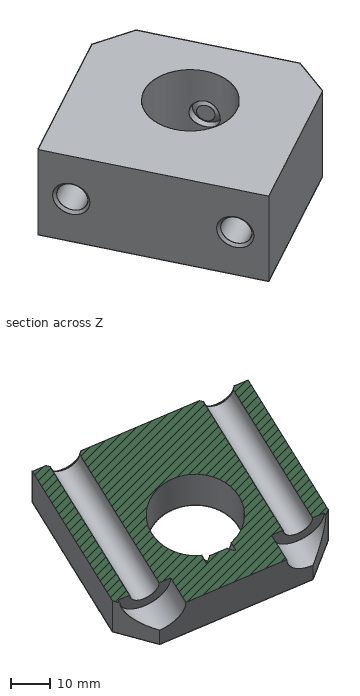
import cadquery as cq

width = 62.0
depth = 54.0
height = 28.0
corner_chamfer = 9.0
front_y = -depth / 2
back_y = depth / 2

bore_diameter = 25.0
bore_y = back_y - 23.0

bolt_spacing = 44.0
bolt_diameter = 8.4
countersink_diameter = 10.0
countersink_depth = (countersink_diameter - bolt_diameter) / 2
counterbore_diameter = 15.0
counterbore_depth = 8.5

screw_diameter = 8.4
tip_diameter = 4.95
tip_recess = 0.3
tip_length = (screw_diameter - tip_diameter) / 2
tip_y = bore_y + bore_diameter / 2 + tip_recess
screw_shoulder_y = tip_y + tip_length


def cylinder_along_y(x, y_start, length, diameter):
    """Cylinder at mid height, running toward +Y from y_start."""
    return cq.Workplane(
        cq.Solid.makeCylinder(diameter / 2, length, cq.Vector(x, y_start, 0), cq.Vector(0, 1, 0))
    )


def cone_along_y(x, y_start, length, start_diameter, end_diameter):
    """Truncated cone at mid height, running toward +Y from y_start."""
    return cq.Workplane(
        cq.Solid.makeCone(
            start_diameter / 2, end_diameter / 2, length, cq.Vector(x, y_start, 0), cq.Vector(0, 1, 0)
        )
    )


def bolt_hole(x):
    """Through hole, countersunk at the front and counterbored at the back."""
    shank = cylinder_along_y(x, front_y, depth, bolt_diameter)
    countersink = cone_along_y(x, front_y, countersink_depth, countersink_diameter, bolt_diameter)
    counterbore = cylinder_along_y(x, back_y - counterbore_depth, counterbore_depth, counterbore_diameter)
    return shank.union(countersink).union(counterbore)


def screw_recess():
    """Space around the flat-ended conical screw tip, open to the bore."""
    pocket = cylinder_along_y(0, bore_y, screw_shoulder_y - bore_y, screw_diameter)
    tip = cone_along_y(0, tip_y, tip_length, tip_diameter, screw_diameter)
    return pocket.cut(tip)


block = cq.Workplane("XY").box(width, depth, height)
block = block.edges("|Z and >Y").chamfer(corner_chamfer)

bore = cq.Workplane("XY").center(0, bore_y).circle(bore_diameter / 2).extrude(height / 2, both=True)
block = block.cut(bore)

for side in (-1, 1):
    block = block.cut(bolt_hole(side * bolt_spacing / 2))

result = block.cut(screw_recess())